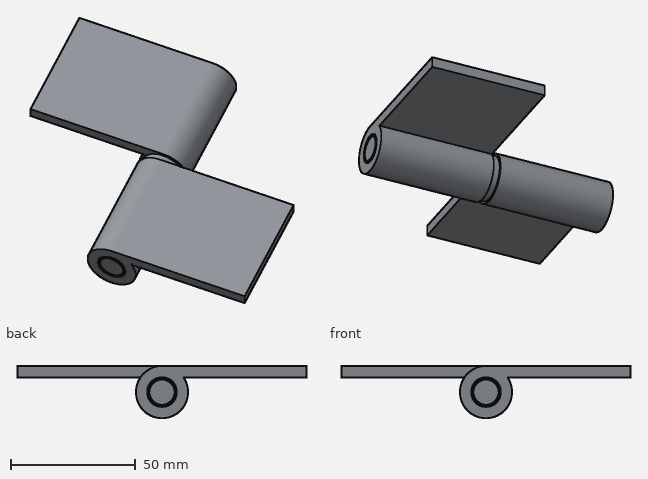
import cadquery as cq

overall_width = 116.0
knuckle_diameter = 21.0
leaf_length = 50.0
leaf_thickness = 4.6
collar_diameter = 19.0
collar_length = 3.0
bore_diameter = 12.0
pin_diameter = 11.0
pin_chamfer = 0.5

knuckle_radius = knuckle_diameter / 2
leaf_reach = overall_width / 2
hinge_length = 2 * leaf_length + collar_length


def cylinder_along_y(diameter, length, start_y):
    """Cylinder on the hinge axis, running from start_y toward +Y."""
    return (
        cq.Workplane("XZ", origin=(0, start_y, 0))
        .circle(diameter / 2)
        .extrude(-length)
    )


def make_leaf(side, start_y):
    """Flat plate tangent to the top of its bored knuckle; side is +1 or -1 along X."""
    plate = cq.Workplane("XY").box(leaf_reach, leaf_length, leaf_thickness).translate(
        (
            side * leaf_reach / 2,
            start_y + leaf_length / 2,
            knuckle_radius - leaf_thickness / 2,
        )
    )
    knuckle = cylinder_along_y(knuckle_diameter, leaf_length, start_y)
    bore = cylinder_along_y(bore_diameter, leaf_length, start_y)
    return knuckle.union(plate).cut(bore)


def make_pin():
    """Loose-fitting pin with chamfered ends and a collar that spaces the two leaves apart."""
    shaft = cylinder_along_y(pin_diameter, hinge_length, -hinge_length / 2)
    shaft = shaft.faces("<Y or >Y").chamfer(pin_chamfer)
    collar = cylinder_along_y(collar_diameter, collar_length, -collar_length / 2)
    return shaft.union(collar)


front_leaf = make_leaf(1, -hinge_length / 2)
rear_leaf = make_leaf(-1, collar_length / 2)
pin = make_pin()

result = cq.Compound.makeCompound([front_leaf.val(), rear_leaf.val(), pin.val()])